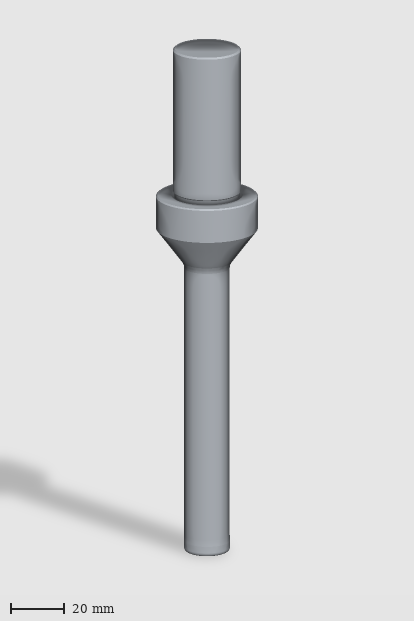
import cadquery as cq

TOTAL_LENGTH = 196.09

COLLAR_DIAMETER = 38.1
COLLAR_HEIGHT = 13.0
COLLAR_CHAMFER = 0.5
COLLAR_TOP = 138.9
CONE_BOTTOM = 111.9
CONE_FILLET = 4.0
STEM_DIAMETER = 17.0
FLARE_START = 6.35
FLARE_END = 4.0
FLARE_DIAMETER = 17.2
TIP_DIAMETER = 17.3
TIP_FILLET = 1.5
SOCKET_DIAMETER = 26.8
SOCKET_DEPTH = 0.6

SHANK_DIAMETER = 25.4
SHANK_LENGTH = 56.0
SHANK_CHAMFER = 0.6
NECK_DIAMETER = 24.4

collar_radius = COLLAR_DIAMETER / 2
collar_bottom = COLLAR_TOP - COLLAR_HEIGHT
stem_radius = STEM_DIAMETER / 2
flare_radius = FLARE_DIAMETER / 2
tip_radius = TIP_DIAMETER / 2
flare_rise = flare_radius - stem_radius
flare_length = FLARE_START - FLARE_END
flare_arc_radius = (flare_length**2 + flare_rise**2) / (2 * flare_rise)
socket_radius = SOCKET_DIAMETER / 2
socket_floor = COLLAR_TOP - SOCKET_DEPTH
shank_radius = SHANK_DIAMETER / 2
shank_bottom = TOTAL_LENGTH - SHANK_LENGTH
neck_radius = NECK_DIAMETER / 2


def revolve_about_z(profile):
    """Turn a closed half profile, drawn as (radius, height), about the Z axis."""
    return profile.close().revolve(360, (0, 0), (0, 1))


def make_holder():
    """Stem, cone and collar, with a conical socket in the collar's top face."""
    profile = (
        cq.Workplane("XZ")
        .lineTo(tip_radius, 0)
        .lineTo(flare_radius, FLARE_END)
        .radiusArc((stem_radius, FLARE_START), flare_arc_radius)
        .lineTo(stem_radius, CONE_BOTTOM)
        .lineTo(collar_radius, collar_bottom)
        .lineTo(collar_radius, COLLAR_TOP - COLLAR_CHAMFER)
        .lineTo(collar_radius - COLLAR_CHAMFER, COLLAR_TOP)
        .lineTo(socket_radius, COLLAR_TOP)
        .lineTo(neck_radius, socket_floor)
        .lineTo(0, socket_floor)
    )
    cone_root = cq.selectors.NearestToPointSelector((0, 0, CONE_BOTTOM))
    tip_rim = cq.selectors.NearestToPointSelector((0, 0, 0))
    holder_body = revolve_about_z(profile)
    holder_body = holder_body.edges(cone_root).fillet(CONE_FILLET)
    return holder_body.edges(tip_rim).fillet(TIP_FILLET)


def make_shank():
    """Shank with chamfered ends above a neck that fills the socket floor."""
    profile = (
        cq.Workplane("XZ")
        .moveTo(0, socket_floor)
        .lineTo(neck_radius, socket_floor)
        .lineTo(neck_radius, shank_bottom)
        .lineTo(shank_radius, shank_bottom + (shank_radius - neck_radius))
        .lineTo(shank_radius, TOTAL_LENGTH - SHANK_CHAMFER)
        .lineTo(shank_radius - SHANK_CHAMFER, TOTAL_LENGTH)
        .lineTo(0, TOTAL_LENGTH)
    )
    return revolve_about_z(profile)


holder = make_holder()
shank = make_shank()
result = cq.Compound.makeCompound([holder.val(), shank.val()])